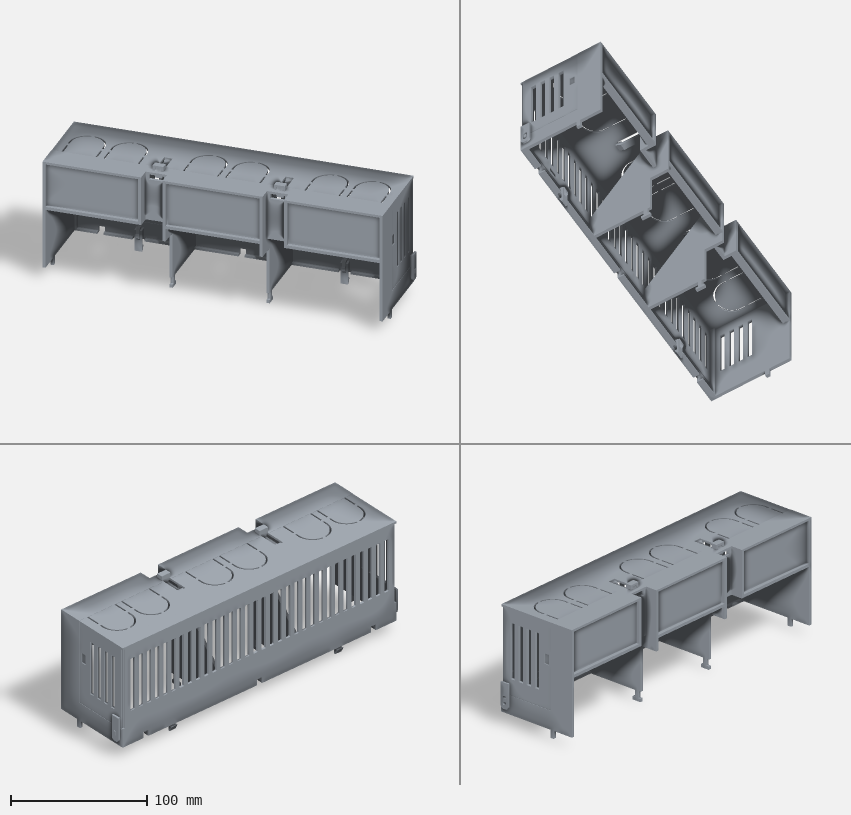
import cadquery as cq


LENGTH = 264.8
DEPTH = 69.3
HEIGHT = 87.0
HALF_LENGTH = LENGTH / 2
END_WALL = 2.5
TOP_WALL = 2.0
BACK_WALL = 2.0
SEAM_Y = 20.3
SEAM_Z = 16.2
SEAM_STEP = 0.14
SEAM_GROOVE = 0.8
RIM = 1.5

CHANNEL_INNER = 39.0
CHANNEL_OUTER = 55.5
CHANNEL_DEPTH = 10.0
CHANNEL_WIDTH = CHANNEL_OUTER - CHANNEL_INNER
CHANNEL_X = (CHANNEL_INNER + CHANNEL_OUTER) / 2
MODULE_PITCH = CHANNEL_INNER + CHANNEL_OUTER
PANEL_WALL = 2.5
PANEL_RECESS = 3.0
PANEL_BOTTOM = 47.7

PARTITION = 2.5
PARTITION_FRONT = 15.5
CHEEK_BOTTOM = 37.5
SLOPE_LOW_Z = 25.2

STEM_Y = 19.5
STEM_WIDTH = 3.2
END_STEM = 6.5
FOOT_DROP = 8.5
FOOT_WIDTH = 7.5
FOOT_HEIGHT = 2.7

VENT_WIDTH = 4.0
VENT_LOW = 29.0
VENT_HIGH = 74.5
VENT_CORNER = 0.8
BACK_VENTS = 32
VENT_ROW = 245.3
VENT_PITCH = VENT_ROW / (BACK_VENTS - 1)
SIDE_VENTS = 4
SIDE_VENT_FIRST = 11.0

ARCH_RADIUS = 13.3
ARCH_LINE = 1.4
ARCH_CENTER_Y = 38.0
ARCH_SPACING = 32.8
ARCH_BRIDGE = 2.5
ARCH_BRIDGE_Y = 33.3

LATCH_WIDTH = 8.5
LATCH_FRONT = 13.8
LATCH_BACK = 19.0
LATCH_HEIGHT = 4.0
LATCH_POCKET = 5.0
LATCH_POCKET_HEIGHT = 2.5
ARM_WIDTH = 5.5
ARM_BACK = 32.5
ARM_DROP = 5.7
ARM_THICKNESS = 2.2
ARM_SIDE_GAP = 0.3
ARM_RISE = 2.0
ARM_ROOT_DEPTH = 1.0
ARM_SLOT_WIDTH = 6.5
ARM_SLOT_BACK = 36.8
WINDOW_WIDTH = 11.6
WINDOW_HEIGHT = 4.0

TAB_THICKNESS = 2.7
TAB_NECK = 1.0
TAB_INSET = 0.95
TAB_WIDTH = 7.3
TAB_Y = DEPTH - 5.5
TAB_LOW = 4.3
TAB_HIGH = 25.7
TAB_CORNER = 2.7
TAB_NECK_LOW = 7.0
SOCKET_DIAMETER = 3.5
SOCKET_LENGTH = 7.3
SOCKET_DEPTH = 1.5
SOCKET_Z = 11.5
PIP_WIDTH = 2.2
PIP_LENGTH = 3.2
PIP_Z = 11.6
PIP_HEIGHT = 0.5

NOTCH_WIDTH = 5.0
NOTCH_HEIGHT = 5.1
NOTCH_X = 110.0
CLIP_X = 80.2
CLIP_WIDTH = 6.0
CLIP_GAP = 9.5
CLIP_TOP = 9.5
CLIP_SHOULDER = 8.7
CLIP_FRONT = DEPTH - 6.0
CLIP_THICKNESS = 1.4
BARB_REACH = 2.2
BARB_HEIGHT = 4.3
CLIP_RIB_WIDTH = 2.7
CLIP_RIB_REACH = 1.5
CLIP_RIB_LOW = 1.0
CLIP_RIB_SHOULDER = 5.7
CLIP_RIB_TOP = 10.8

MARK_LENGTH = 8.5
MARK_WIDTH = 4.3
MARK_DEPTH = 1.0
BACK_MARK_X = 90.5
BACK_MARK_Z = 21.0
SIDE_MARK_Y = 25.0
SIDE_MARK_Z = 55.8
INNER_GROOVE_Z = 14.0
INNER_GROOVE_HEIGHT = 1.5
INNER_GROOVE_DEPTH = 0.5


def block(x0, x1, y0, y1, z0, z1):
    """Box between two opposite corners."""
    return cq.Workplane("XY").box(x1 - x0, y1 - y0, z1 - z0, centered=False).translate((x0, y0, z0))


def slab(x_mid, width, y0, y1, z0, z1):
    """Box centred on x_mid."""
    return block(x_mid - width / 2, x_mid + width / 2, y0, y1, z0, z1)


def profile(x_mid, width, points):
    """(Y, Z) outline extruded along X, centred on x_mid."""
    return cq.Workplane("YZ").polyline(points).close().extrude(width / 2, both=True).translate((x_mid, 0, 0))


def shell():
    """Top, back and end walls with the inner rim; open at the front and below."""
    body = block(-HALF_LENGTH, HALF_LENGTH, 0, DEPTH, HEIGHT - TOP_WALL, HEIGHT)
    body = body.union(block(-HALF_LENGTH, HALF_LENGTH, DEPTH - BACK_WALL, DEPTH, 0, HEIGHT))
    rim_front = DEPTH - BACK_WALL - RIM * 2
    body = body.union(block(-HALF_LENGTH, HALF_LENGTH, rim_front, DEPTH, 0, RIM))
    for side in (-1, 1):
        x_wall = side * (HALF_LENGTH - END_WALL / 2)
        body = body.union(slab(x_wall, END_WALL, 0, DEPTH, 0, HEIGHT))
        x_rim = side * (HALF_LENGTH - END_WALL - RIM / 2)
        body = body.union(slab(x_rim, RIM, rim_front, DEPTH, 0, HEIGHT))
    return body


def front_modules():
    """Three framed, recessed panels; the channels between them have their own wall."""
    spans = [
        (-HALF_LENGTH, -CHANNEL_OUTER),
        (-CHANNEL_INNER, CHANNEL_INNER),
        (CHANNEL_OUTER, HALF_LENGTH),
    ]
    wall_back = CHANNEL_DEPTH + PANEL_WALL
    panel_back = PANEL_RECESS + PANEL_WALL
    frame = cq.Workplane("XY")
    for x0, x1 in spans:
        frame = frame.union(block(x0, x1, PANEL_RECESS, panel_back, PANEL_BOTTOM, HEIGHT))
        frame = frame.union(block(x0, x1, 0, panel_back, PANEL_BOTTOM, PANEL_BOTTOM + PANEL_WALL))
        frame = frame.union(block(x0, x0 + PANEL_WALL, 0, wall_back, PANEL_BOTTOM, HEIGHT))
        frame = frame.union(block(x1 - PANEL_WALL, x1, 0, wall_back, PANEL_BOTTOM, HEIGHT))
    for side in (-1, 1):
        frame = frame.union(
            slab(side * CHANNEL_X, CHANNEL_WIDTH, CHANNEL_DEPTH, wall_back, PANEL_BOTTOM, HEIGHT))
    return frame


def channel_cut(side):
    """Opening of a channel through the front edge of the top."""
    return slab(side * CHANNEL_X, CHANNEL_WIDTH, 0, CHANNEL_DEPTH, 0, HEIGHT)


def partition(side):
    """Inner wall with a sloping rear edge, a front cheek and a T-shaped foot."""
    outline = [
        (0, HEIGHT),
        (0, CHEEK_BOTTOM),
        (PARTITION_FRONT, CHEEK_BOTTOM),
        (PARTITION_FRONT, 0),
        (DEPTH - BACK_WALL, 0),
        (DEPTH - BACK_WALL, SLOPE_LOW_Z),
        (PARTITION_FRONT, HEIGHT),
    ]
    x_mid = side * (CHANNEL_INNER - PARTITION / 2)
    wall = profile(x_mid, PARTITION, outline)
    wall = wall.union(stem(x_mid, PARTITION, FOOT_DROP))
    foot_top = FOOT_HEIGHT - FOOT_DROP
    y0 = STEM_Y - FOOT_WIDTH / 2
    return wall.union(slab(x_mid, PARTITION, y0, y0 + FOOT_WIDTH, -FOOT_DROP, foot_top))


def stem(x_mid, width, drop):
    """Short leg below the lower edge."""
    return slab(x_mid, width, STEM_Y - STEM_WIDTH / 2, STEM_Y + STEM_WIDTH / 2, -drop, RIM)


def rear_cover_step(side):
    """Seam of the rear cover on an end wall: shallow step, lower groove and rear corner rebate."""
    face = side * HALF_LENGTH
    step = slab(face, 2 * SEAM_STEP, SEAM_Y, DEPTH, SEAM_Z, HEIGHT)
    groove = slab(face, 4 * SEAM_STEP, SEAM_Y, DEPTH, SEAM_Z - SEAM_GROOVE, SEAM_Z)
    ledge = slab(face, BACK_WALL, DEPTH - BACK_WALL, DEPTH, SEAM_Z, HEIGHT - TOP_WALL)
    corner = slab(face, 2 * BACK_WALL, DEPTH - BACK_WALL / 2, DEPTH, SEAM_Z, HEIGHT - TOP_WALL)
    return step.union(groove).union(ledge).union(corner)


def back_vents():
    """Row of upright slots through the back wall."""
    slots = cq.Workplane("XZ", origin=(0, DEPTH, (VENT_LOW + VENT_HIGH) / 2))
    slots = slots.rarray(VENT_PITCH, 2.7, BACK_VENTS, 1).rect(VENT_WIDTH, VENT_HIGH - VENT_LOW)
    return slots.extrude(2 * BACK_WALL).edges("|Y").fillet(VENT_CORNER)


def side_vents():
    """Upright slots through both end walls."""
    slots = cq.Workplane("XY")
    for index in range(SIDE_VENTS):
        y_mid = DEPTH - SIDE_VENT_FIRST - index * VENT_PITCH
        y0 = y_mid - VENT_WIDTH / 2
        for side in (-1, 1):
            slots = slots.union(
                slab(side * HALF_LENGTH, 2 * END_WALL, y0, y0 + VENT_WIDTH, VENT_LOW, VENT_HIGH))
    return slots


def arch(x_mid):
    """Thin arch-shaped slit through the top, interrupted by three bridges."""
    z0 = HEIGHT - TOP_WALL

    def arch_plate(radius):
        return (
            cq.Workplane("XY", origin=(x_mid, 0, z0))
            .moveTo(-radius, SEAM_Y)
            .lineTo(-radius, ARCH_CENTER_Y)
            .threePointArc((0, ARCH_CENTER_Y + radius), (radius, ARCH_CENTER_Y))
            .lineTo(radius, SEAM_Y)
            .close()
            .extrude(TOP_WALL)
        )

    slit = arch_plate(ARCH_RADIUS + ARCH_LINE / 2).cut(arch_plate(ARCH_RADIUS - ARCH_LINE / 2))
    crown = slab(x_mid, ARCH_BRIDGE, ARCH_CENTER_Y, DEPTH, z0, HEIGHT)
    y0 = ARCH_BRIDGE_Y - ARCH_BRIDGE / 2
    legs = slab(x_mid, 3 * ARCH_RADIUS, y0, y0 + ARCH_BRIDGE, z0, HEIGHT)
    return slit.cut(crown).cut(legs)


def latch_openings(x_mid):
    """Slot around the latch arm and the window in the channel wall."""
    slot = slab(x_mid, ARM_SLOT_WIDTH, LATCH_BACK, ARM_SLOT_BACK, HEIGHT - TOP_WALL, HEIGHT)
    window_top = HEIGHT - TOP_WALL
    window = slab(x_mid, WINDOW_WIDTH, CHANNEL_DEPTH, CHANNEL_DEPTH + PANEL_WALL,
                  window_top - WINDOW_HEIGHT, window_top)
    return slot.union(window)


def latch(x_mid):
    """Raised catch with a sloping front pocket, on a low arm rooted at the rear of its slot."""
    catch_top = HEIGHT + LATCH_HEIGHT
    catch = slab(x_mid, LATCH_WIDTH, LATCH_FRONT, LATCH_BACK, HEIGHT - TOP_WALL, catch_top)
    pocket = [
        (LATCH_FRONT, HEIGHT),
        (LATCH_BACK - TOP_WALL, HEIGHT + LATCH_POCKET_HEIGHT),
        (LATCH_FRONT, HEIGHT + LATCH_POCKET_HEIGHT),
    ]
    catch = catch.cut(profile(x_mid, LATCH_POCKET, pocket))
    arm_x = x_mid + (ARM_SLOT_WIDTH - ARM_WIDTH) / 2 - ARM_SIDE_GAP
    arm_low = HEIGHT - ARM_DROP
    arm_top = arm_low + ARM_THICKNESS
    root_top = HEIGHT - ARM_ROOT_DEPTH
    root_back = ARM_SLOT_BACK + TOP_WALL
    arm = profile(arm_x, ARM_WIDTH, [
        (LATCH_FRONT, arm_low),
        (LATCH_FRONT, arm_top),
        (ARM_BACK, arm_top),
        (ARM_BACK + ARM_RISE, root_top),
        (root_back, root_top),
        (root_back, root_top - ARM_THICKNESS),
        (ARM_BACK + ARM_RISE, arm_low),
    ])
    column = slab(arm_x, ARM_WIDTH, LATCH_FRONT, LATCH_BACK, arm_low, HEIGHT)
    return catch.union(column).union(arm)


def tab(side):
    """Coupling plate standing off an end wall on a smaller neck."""
    face = side * HALF_LENGTH
    outer = face + side * TAB_THICKNESS
    neck_end = face + side * TAB_NECK
    y0 = TAB_Y - TAB_WIDTH / 2
    y1 = TAB_Y + TAB_WIDTH / 2
    plate = block(min(neck_end, outer), max(neck_end, outer), y0, y1, TAB_LOW, TAB_HIGH)
    plate = plate.edges("|X and <Z").fillet(TAB_CORNER)
    root = face - side * END_WALL
    neck = block(min(root, neck_end), max(root, neck_end), y0 + TAB_INSET, y1 - TAB_INSET,
                 TAB_NECK_LOW, TAB_HIGH - TAB_INSET)
    return plate.union(neck)


def pip(x0, x1):
    """Small rectangular locking stud of a coupling tab."""
    return block(x0, x1, TAB_Y - PIP_WIDTH / 2, TAB_Y + PIP_WIDTH / 2,
                 PIP_Z - PIP_LENGTH / 2, PIP_Z + PIP_LENGTH / 2)


def socket():
    """Round-ended pocket in the left coupling tab, with a stud left standing in it."""
    outer = -HALF_LENGTH - TAB_THICKNESS
    pocket = (
        cq.Workplane("YZ", origin=(outer, TAB_Y, SOCKET_Z))
        .slot2D(SOCKET_LENGTH, SOCKET_DIAMETER, 90)
        .extrude(SOCKET_DEPTH)
    )
    return pocket.cut(pip(outer, outer + SOCKET_DEPTH))


def clip(x_mid):
    """Snap clip at the foot of the back wall: blade, rearward barb and front rib."""
    blade_back = CLIP_FRONT + CLIP_THICKNESS
    blade = slab(x_mid, CLIP_WIDTH, CLIP_FRONT, blade_back, -FOOT_DROP, CLIP_SHOULDER)
    root = profile(x_mid, CLIP_WIDTH, [
        (CLIP_FRONT, RIM),
        (CLIP_FRONT, CLIP_SHOULDER),
        (DEPTH - BACK_WALL, CLIP_TOP),
        (DEPTH - BACK_WALL, RIM),
    ])
    barb = profile(x_mid, CLIP_WIDTH, [
        (blade_back, -FOOT_DROP),
        (blade_back + BARB_REACH, BARB_HEIGHT - FOOT_DROP),
        (blade_back, BARB_HEIGHT - FOOT_DROP),
    ])
    rib = profile(x_mid, CLIP_RIB_WIDTH, [
        (CLIP_FRONT, CLIP_RIB_LOW),
        (CLIP_FRONT - CLIP_RIB_REACH, CLIP_RIB_LOW + CLIP_RIB_REACH),
        (CLIP_FRONT - CLIP_RIB_REACH, CLIP_RIB_SHOULDER),
        (CLIP_FRONT, CLIP_RIB_TOP),
        (DEPTH - BACK_WALL, CLIP_RIB_TOP),
        (DEPTH - BACK_WALL, RIM),
        (CLIP_FRONT, RIM),
    ])
    return blade.union(root).union(barb).union(rib)


def marks():
    """Blind rectangular recesses inside the back wall and outside the end walls."""
    inner_face = DEPTH - BACK_WALL
    cuts = cq.Workplane("XY")
    for side in (-1, 1):
        z0 = BACK_MARK_Z - MARK_WIDTH / 2
        cuts = cuts.union(slab(side * BACK_MARK_X, MARK_LENGTH, inner_face, inner_face + MARK_DEPTH,
                               z0, z0 + MARK_WIDTH))
        y0 = SIDE_MARK_Y - MARK_WIDTH / 2
        z0 = SIDE_MARK_Z - MARK_LENGTH / 2
        cuts = cuts.union(slab(side * HALF_LENGTH, 2 * MARK_DEPTH, y0, y0 + MARK_WIDTH,
                               z0, z0 + MARK_LENGTH))
    groove = block(-HALF_LENGTH + END_WALL, HALF_LENGTH - END_WALL, inner_face,
                   inner_face + INNER_GROOVE_DEPTH, INNER_GROOVE_Z, INNER_GROOVE_Z + INNER_GROOVE_HEIGHT)
    return cuts.union(groove)


result = shell()
for end in (-1, 1):
    result = result.cut(channel_cut(end))
result = result.union(front_modules())

result = result.cut(block(-HALF_LENGTH, HALF_LENGTH, SEAM_Y, DEPTH, HEIGHT - SEAM_STEP, HEIGHT))
result = result.cut(marks()).cut(back_vents()).cut(side_vents())
for module in (-1, 0, 1):
    for half in (-1, 1):
        result = result.cut(arch(module * MODULE_PITCH + half * ARCH_SPACING / 2))
for x_notch in (-NOTCH_X, 0, NOTCH_X):
    result = result.cut(slab(x_notch, NOTCH_WIDTH, DEPTH / 2, DEPTH, 0, NOTCH_HEIGHT))

for end in (-1, 1):
    clip_gap = slab(end * CLIP_X, CLIP_GAP, DEPTH / 2, DEPTH - BACK_WALL, 0, RIM)
    result = result.cut(rear_cover_step(end)).cut(clip_gap).cut(latch_openings(end * CHANNEL_X))
    result = result.union(partition(end)).union(latch(end * CHANNEL_X))
    result = result.union(stem(end * (HALF_LENGTH - END_WALL / 2), END_WALL, END_STEM))
    result = result.union(clip(end * CLIP_X)).union(tab(end))

stud_root = HALF_LENGTH + TAB_THICKNESS
result = result.cut(socket()).union(pip(stud_root - PIP_HEIGHT, stud_root + PIP_HEIGHT))